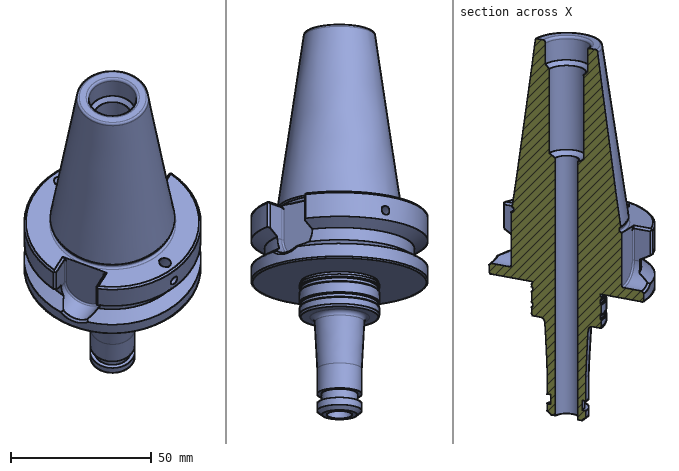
import cadquery as cq
import math


total_height = 141.4
gauge_z = 76.1
gauge_radius = 22.2
taper_ratio = 7 / 48
taper_end_fillet = 0.8

flange_radius = 31.5
flange_top = 74.0
flange_bottom = 49.0
flange_top_chamfer = 0.7
flange_bottom_chamfer = 0.5
relief_radius = 21.6
relief_fillet = 0.8

groove_z = 59.4
groove_floor_radius = 26.7
groove_floor_width = 4.5
groove_side_angle = 30.0

slot_width = 15.8
slot_floor_y = 22.6
slot_bottom = 53.3
slot_mouth_chamfer = 0.8
slot_floor_fillet = 0.5
tolerance = 0.01

collar_radius = 14.3
collar_bottom = 36.2
collar_chamfer = 0.4
collar_chamfer_height = 0.8
neck_height = 1.0
ring_depth = 0.4
ring_width = 2.0
ring_centres = (40.5, 46.2)

nose_diameter = 16.0
nose_radius = nose_diameter / 2
nose_cone_top_radius = 8.9
nose_cone_bottom = 17.0
nose_fillet = 1.7
nose_groove_radius = 6.5
nose_groove_bottom = 4.1
nose_groove_top = 7.6
tip_radius = 6.2
tip_chamfer_height = 1.4

counterbore_radius = 8.5
counterbore_depth = 9.0
bore_mouth_fillet = 1.0
thread_radius = 6.9
thread_depth = 42.4
drill_point_angle = 118.0
through_radius = 4.5

hole_angles = (160, 340)
coolant_pitch_radius = 26.9
coolant_diameter = 4.0
coolant_depth = 9.9
coolant_tilt = 30.0
screw_diameter = 3.3
screw_z = 68.0
screw_depth = 5.2

arc_inset = 1 - math.sqrt(0.5)


def taper_radius(z):
    return gauge_radius - (z - gauge_z) * taper_ratio


def drill_point_height(radius_drop):
    return radius_drop / math.tan(math.radians(drill_point_angle / 2))


def turned(profile):
    """Revolve a closed (radius, z) profile about Z."""
    return profile.close().revolve(360, (0, 0, 0), (0, 1, 0))


def make_taper():
    fillet_z = total_height - taper_end_fillet
    relief_top = gauge_z - (gauge_radius - relief_radius)
    corner = relief_fillet * arc_inset
    end_radius = taper_radius(fillet_z)
    end_corner = taper_end_fillet * arc_inset
    return turned(
        cq.Workplane("XZ")
        .moveTo(0, flange_bottom)
        .lineTo(relief_radius + relief_fillet, flange_bottom)
        .lineTo(relief_radius + relief_fillet, flange_top)
        .threePointArc((relief_radius + corner, flange_top + corner),
                       (relief_radius, flange_top + relief_fillet))
        .lineTo(relief_radius, relief_top)
        .lineTo(gauge_radius, gauge_z)
        .lineTo(end_radius, fillet_z)
        .threePointArc((end_radius - end_corner, total_height - end_corner),
                       (end_radius - taper_end_fillet, total_height))
        .lineTo(0, total_height)
    )


def make_slot(side):
    """Drive slot cutter on the +Y (side = 1) or -Y (side = -1) flank."""
    half_width = slot_width / 2
    arc_z = slot_bottom + half_width
    return (
        cq.Workplane("XZ", origin=(0, side * slot_floor_y, 0))
        .moveTo(-half_width, total_height)
        .lineTo(-half_width, arc_z)
        .threePointArc((0, slot_bottom), (half_width, arc_z))
        .lineTo(half_width, total_height)
        .close()
        .extrude(-side * flange_radius)
    )


def is_slot_edge(edge):
    """True for edges near a slot and above the flange underside."""
    box = edge.BoundingBox()
    return max(-box.xmin, box.xmax) < slot_width and box.zmin > flange_bottom


def is_slot_mouth(edge):
    """True for the slot wall edges on the flange top and for those on the flange rim."""
    box = edge.BoundingBox()
    middle = edge.positionAt(0.5)
    wall_top = box.zmin > flange_top - tolerance and box.ylen > slot_mouth_chamfer
    on_rim = math.hypot(middle.x, middle.y) > flange_radius - tolerance
    return is_slot_edge(edge) and (wall_top or on_rim)


def is_slot_floor(edge):
    """True for the edges where the slot wall, below its chamfer, meets the slot floor."""
    box = edge.BoundingBox()
    middle = edge.positionAt(0.5)
    at_floor = abs(abs(middle.y) - slot_floor_y) < tolerance and box.ylen < tolerance
    below_chamfer = box.zmax < flange_top - slot_mouth_chamfer + tolerance
    along_wall = box.zlen > slot_mouth_chamfer
    return is_slot_edge(edge) and at_floor and below_chamfer and along_wall


def make_slotted_disc():
    """Plain flange disc with both drive slots and their mouth chamfers and floor fillets."""
    disc = cq.Workplane("XY", origin=(0, 0, flange_bottom)).circle(flange_radius)
    disc = disc.extrude(flange_top - flange_bottom)
    for side in (1, -1):
        disc = disc.cut(make_slot(side))
    mouth_edges = [edge for edge in disc.edges().vals() if is_slot_mouth(edge)]
    disc = disc.newObject(mouth_edges).chamfer(slot_mouth_chamfer)
    floor_edges = [edge for edge in disc.edges().vals() if is_slot_floor(edge)]
    return disc.newObject(floor_edges).fillet(slot_floor_fillet)


def make_v_groove():
    half_floor = groove_floor_width / 2
    depth = flange_radius - groove_floor_radius
    half_mouth = half_floor + depth * math.tan(math.radians(groove_side_angle))
    return turned(
        cq.Workplane("XZ")
        .moveTo(flange_radius, groove_z - half_mouth)
        .lineTo(groove_floor_radius, groove_z - half_floor)
        .lineTo(groove_floor_radius, groove_z + half_floor)
        .lineTo(flange_radius, groove_z + half_mouth)
    )


def make_rim_chamfers():
    """Rings removed from the top and bottom corners of the flange rim."""
    top_ring = turned(
        cq.Workplane("XZ")
        .moveTo(flange_radius, flange_top - flange_top_chamfer)
        .lineTo(flange_radius - flange_top_chamfer, flange_top)
        .lineTo(flange_radius, flange_top)
    )
    bottom_ring = turned(
        cq.Workplane("XZ")
        .moveTo(flange_radius, flange_bottom + flange_bottom_chamfer)
        .lineTo(flange_radius - flange_bottom_chamfer, flange_bottom)
        .lineTo(flange_radius, flange_bottom)
    )
    return top_ring.union(bottom_ring)


def make_collar():
    collar = turned(
        cq.Workplane("XZ")
        .moveTo(0, collar_bottom)
        .lineTo(collar_radius - collar_chamfer, collar_bottom)
        .lineTo(collar_radius, collar_bottom + collar_chamfer_height)
        .lineTo(collar_radius, flange_bottom - neck_height)
        .lineTo(collar_radius - collar_chamfer, flange_bottom)
        .lineTo(0, flange_bottom)
    )
    for ring_z in ring_centres:
        half_mouth = ring_width / 2
        half_floor = half_mouth - ring_depth
        ring = turned(
            cq.Workplane("XZ")
            .moveTo(collar_radius, ring_z - half_mouth)
            .lineTo(collar_radius - ring_depth, ring_z - half_floor)
            .lineTo(collar_radius - ring_depth, ring_z + half_floor)
            .lineTo(collar_radius, ring_z + half_mouth)
        )
        collar = collar.cut(ring)
    return collar


def make_nose():
    cone_top = collar_bottom - nose_fillet
    corner = nose_fillet * arc_inset
    return turned(
        cq.Workplane("XZ")
        .moveTo(0, 0)
        .lineTo(tip_radius, 0)
        .lineTo(nose_radius, tip_chamfer_height)
        .lineTo(nose_radius, nose_groove_bottom)
        .lineTo(nose_groove_radius, nose_groove_bottom)
        .lineTo(nose_groove_radius, nose_groove_top)
        .lineTo(nose_radius, nose_groove_top)
        .lineTo(nose_radius, nose_cone_bottom)
        .lineTo(nose_cone_top_radius, cone_top)
        .threePointArc((nose_cone_top_radius + corner, collar_bottom - corner),
                       (nose_cone_top_radius + nose_fillet, collar_bottom))
        .lineTo(0, collar_bottom)
    )


def make_bore():
    counterbore_floor = total_height - counterbore_depth
    step = counterbore_radius - thread_radius
    mouth_corner = bore_mouth_fillet * arc_inset
    thread_floor = total_height - thread_depth
    point_height = drill_point_height(thread_radius - through_radius)
    return turned(
        cq.Workplane("XZ")
        .moveTo(0, 0)
        .lineTo(through_radius, 0)
        .lineTo(through_radius, thread_floor - point_height)
        .lineTo(thread_radius, thread_floor)
        .lineTo(thread_radius, counterbore_floor - step)
        .lineTo(counterbore_radius, counterbore_floor)
        .lineTo(counterbore_radius, total_height - bore_mouth_fillet)
        .threePointArc((counterbore_radius + mouth_corner, total_height - mouth_corner),
                       (counterbore_radius + bore_mouth_fillet, total_height))
        .lineTo(0, total_height)
    )


def make_flange_holes(angle):
    """Tilted blind coolant hole and the radial screw hole that just meets it, at one angle."""
    tilt = math.radians(coolant_tilt)
    inward = cq.Vector(-math.sin(tilt), 0, -math.cos(tilt))
    lead = coolant_diameter
    start = cq.Vector(coolant_pitch_radius, 0, flange_top) - inward * lead
    coolant = cq.Solid.makeCylinder(coolant_diameter / 2, coolant_depth + lead, start, inward)

    screw_radius = screw_diameter / 2
    screw_end = flange_radius - screw_depth
    screw = (
        cq.Workplane("XZ")
        .moveTo(flange_radius, screw_z)
        .lineTo(flange_radius, screw_z + screw_radius)
        .lineTo(screw_end, screw_z + screw_radius)
        .lineTo(screw_end - drill_point_height(screw_radius), screw_z)
        .close()
        .revolve(360, (0, screw_z, 0), (1, screw_z, 0))
    )
    return screw.union(cq.Workplane(coolant)).rotate((0, 0, 0), (0, 0, 1), angle)


flange = make_slotted_disc().cut(make_v_groove()).cut(make_rim_chamfers())
result = flange.union(make_taper()).union(make_collar()).union(make_nose())
result = result.cut(make_bore())
for hole_angle in hole_angles:
    result = result.cut(make_flange_holes(hole_angle))